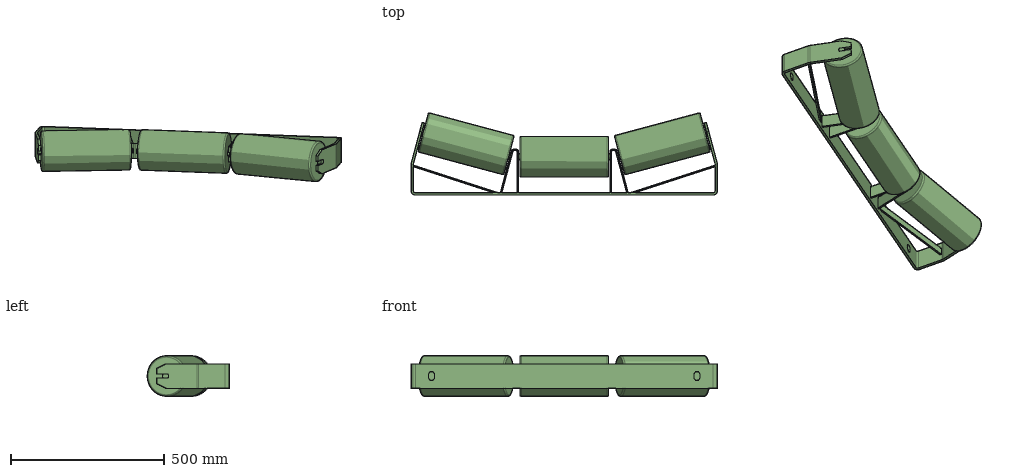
import cadquery as cq
import math


tilt = 15.0
frame_length = 1000.0
strip_width = 80.0
frame_thickness = 8.0
bracket_thickness = 5.0

roller_diameter = 133.0
roller_length = 290.0
roller_edge_radius = 5.0
mount_length = 298.0
shaft_diameter = 20.0
shaft_flats = 14.0

frame_bend_radius = 14.0
flange_bend_radius = 22.0
flange_bend_height = 103.0
flange_tip_height = 237.5
tip_width = 50.0
bracket_width = 50.0
tip_taper_length = 31.0
mount_slot_x = 433.0
mount_slot_width = 19.0
mount_slot_height = 28.0

middle_axis_y = 125.0
side_axis_y = 167.47
bracket_top_y = 150.0
bracket_bend_radius = 8.0

brace_angle = 18.0
brace_thickness = 5.0
brace_width = 28.0
brace_foot_x = 216.0

sin_tilt = math.sin(math.radians(tilt))
cos_tilt = math.cos(math.radians(tilt))
tan_tilt = sin_tilt / cos_tilt

half_mount = mount_length / 2
half_frame = frame_length / 2
flange_reach = half_mount + frame_thickness
side_axis_x = half_frame - (flange_reach + (side_axis_y - flange_bend_height) * sin_tilt) / cos_tilt


def extrude_strip(points, width):
    """Extrude a closed XY outline symmetrically about the XY plane."""
    return cq.Workplane("XY").polyline(points).close().extrude(width / 2, both=True)


def round_corner(strip, x, y, radius):
    """Round the one Z-parallel edge of a strip that stands at (x, y)."""
    reach = 1.0
    corner = cq.selectors.BoxSelector((x - reach, y - reach, -reach), (x + reach, y + reach, reach))
    return strip.edges("|Z").edges(corner).fillet(radius)


def place_side(shape):
    """Move a shape from the roller's own frame to the right-hand side roller."""
    return shape.rotate((0, 0, 0), (0, 0, 1), tilt).translate((side_axis_x, side_axis_y, 0))


def place_middle(shape):
    """Move a shape from the roller's own frame to the middle roller."""
    return shape.translate((0, middle_axis_y, 0))


def mirror_side(shape):
    """Mirror a right-hand shape to the left-hand side."""
    return shape.mirror("YZ")


def flatted_bar(length):
    """Round bar along X with two flats facing +Z and -Z."""
    bar = cq.Workplane("YZ").circle(shaft_diameter / 2).extrude(length / 2, both=True)
    return bar.intersect(cq.Workplane("XY").box(length, shaft_diameter, shaft_flats))


def make_roller(left_plate, right_plate):
    """Roller on the X axis whose shaft ends are flush with the outside of its plates."""
    drum = (
        cq.Workplane("YZ", origin=(-roller_length / 2, 0, 0))
        .circle(roller_diameter / 2).extrude(roller_length)
        .faces("<X or >X").fillet(roller_edge_radius)
    )
    shaft = cq.Workplane("YZ").circle(shaft_diameter / 2).extrude(half_mount, both=True)
    left_end = half_mount + left_plate
    right_end = half_mount + right_plate
    flats = flatted_bar(left_end + right_end).translate(((right_end - left_end) / 2, 0, 0))
    return drum.union(shaft).union(flats)


def shaft_slot(start, end, depth):
    """Cutter for a slot round the shaft, open toward +Y, between two places along X."""
    length = end - start
    throat = cq.Workplane("XY").box(length, depth, shaft_flats).translate((0, depth / 2, 0))
    return flatted_bar(length).union(throat).translate(((start + end) / 2, 0, 0))


def flange_cutters():
    """Cutters for the flange's tapered tip and shaft slot, in the roller's own frame."""
    cut_start = half_mount - frame_thickness
    cut_end = flange_reach + frame_thickness
    tip_y = (flange_tip_height - side_axis_y - flange_reach * sin_tilt) / cos_tilt
    past_tip_y = tip_y + frame_thickness
    taper_outline = [
        (tip_y - tip_taper_length, strip_width / 2),
        (tip_y, tip_width / 2),
        (past_tip_y, tip_width / 2),
        (past_tip_y, strip_width / 2),
    ]
    taper = (
        cq.Workplane("YZ", origin=(cut_start, 0, 0))
        .polyline(taper_outline).close().extrude(cut_end - cut_start)
    )
    slot = shaft_slot(cut_start, cut_end, past_tip_y)
    return [taper, taper.mirror("XY"), slot]


def make_frame():
    """Base bar with two uprights that lean inward above their bend."""
    inner_x = half_frame - frame_thickness
    inner_bend_y = flange_bend_height - frame_thickness * math.tan(math.radians(tilt / 2))
    tip_x = half_frame - (flange_tip_height - flange_bend_height) * tan_tilt
    inner_tip = (tip_x - frame_thickness * cos_tilt, flange_tip_height - frame_thickness * sin_tilt)
    right_side = [
        (half_frame, 0),
        (half_frame, flange_bend_height),
        (tip_x, flange_tip_height),
        inner_tip,
        (inner_x, inner_bend_y),
        (inner_x, frame_thickness),
    ]
    left_side = [(-x, y) for x, y in reversed(right_side)]
    frame = extrude_strip(right_side + left_side, strip_width)

    for x, y, radius in (
        (half_frame, 0, frame_bend_radius),
        (inner_x, frame_thickness, frame_bend_radius - frame_thickness),
        (half_frame, flange_bend_height, flange_bend_radius),
        (inner_x, inner_bend_y, flange_bend_radius - frame_thickness),
    ):
        for side in (-1, 1):
            frame = round_corner(frame, side * x, y, radius)

    for cutter in flange_cutters():
        placed = place_side(cutter)
        frame = frame.cut(placed).cut(mirror_side(placed))

    mount_slots = (
        cq.Workplane("XZ").pushPoints([(-mount_slot_x, 0), (mount_slot_x, 0)])
        .slot2D(mount_slot_height, mount_slot_width, 90)
        .extrude(-frame_thickness)
    )
    return frame.cut(mount_slots)


def make_bracket():
    """Right-hand bent bracket that carries the middle roller and the inner end of the side roller."""
    def leaning_face_x(y, offset):
        """X of the leaning leg's face, offset inward from the face toward the side roller."""
        return side_axis_x - (half_mount + offset) / cos_tilt - (y - side_axis_y) * tan_tilt

    foot_y = frame_thickness
    under_y = bracket_top_y - bracket_thickness
    upright_inner_x = half_mount + bracket_thickness
    outer_corners = [
        (half_mount, bracket_top_y),
        (leaning_face_x(bracket_top_y, 0), bracket_top_y),
    ]
    inner_corners = [
        (leaning_face_x(under_y, bracket_thickness), under_y),
        (upright_inner_x, under_y),
    ]
    outline = [
        (half_mount, foot_y),
        *outer_corners,
        (leaning_face_x(foot_y, 0), foot_y),
        (leaning_face_x(foot_y, bracket_thickness), foot_y),
        *inner_corners,
        (upright_inner_x, foot_y),
    ]
    bracket = extrude_strip(outline, bracket_width)
    for x, y in outer_corners:
        bracket = round_corner(bracket, x, y, bracket_bend_radius)
    for x, y in inner_corners:
        bracket = round_corner(bracket, x, y, bracket_bend_radius - bracket_thickness)

    slot_depth = 2 * (bracket_top_y - middle_axis_y)
    upright_slot = place_middle(shaft_slot(half_mount, upright_inner_x, slot_depth))
    leaning_slot = place_side(shaft_slot(-upright_inner_x, -half_mount, slot_depth))
    return bracket.cut(upright_slot).cut(leaning_slot)


def make_brace():
    """Right-hand flat brace from the base bar to the upright."""
    slope = math.tan(math.radians(brace_angle))
    foot_width = brace_thickness / math.sin(math.radians(brace_angle))
    upright_x = half_frame - frame_thickness
    upper_y = frame_thickness + (upright_x - brace_foot_x) * slope
    outline = [
        (brace_foot_x, frame_thickness),
        (brace_foot_x + foot_width, frame_thickness),
        (upright_x, upper_y - foot_width * slope),
        (upright_x, upper_y),
    ]
    return extrude_strip(outline, brace_width)


frame = make_frame()
middle_roller = place_middle(make_roller(bracket_thickness, bracket_thickness))
side_roller = place_side(make_roller(bracket_thickness, frame_thickness))
bracket = make_bracket()
brace = make_brace()

bodies = [frame.val(), middle_roller.val()]
for part in (side_roller, bracket, brace):
    bodies += [part.val(), mirror_side(part).val()]

result = cq.Compound.makeCompound(bodies)